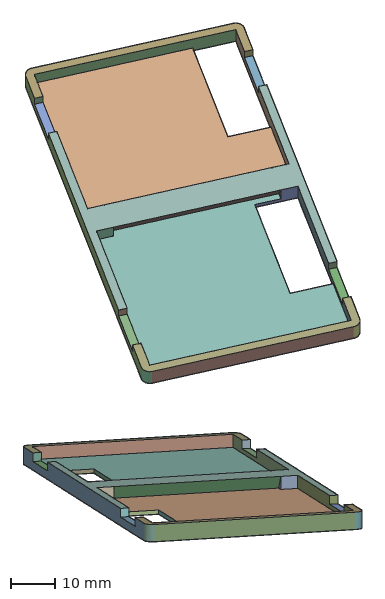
import cadquery as cq

length = 95.5
width = 51.5
height = 4.0
wall = 2.0
corner_radius = 2.0

floor_thickness = 1.0
bar_width = 7.1
pocket_length = (length - 2 * wall - bar_width) / 2
pocket_width = width - 2 * wall
pocket_depth = height - floor_thickness
pocket_offset = (bar_width + pocket_length) / 2

window_length = 27.9
window_width = 10.1

notch_length = 11.0
notch_depth = 2.0
notch_offset = 33.3

undercut_depth = 1.6
undercut_end_margin = 4.0
undercut_length = pocket_width - 2 * undercut_end_margin


def block(size_x, size_y, bottom, top, center_x, center_y):
    """Upright box between two heights, centred at the given place."""
    return (
        cq.Workplane("XY", origin=(center_x, center_y, bottom))
        .rect(size_x, size_y)
        .extrude(top - bottom)
    )


def pocket_with_window(center_x):
    """Material removed by one pocket and the window in its floor."""
    pocket = block(pocket_length, pocket_width, floor_thickness, height, center_x, 0)
    window_x = center_x - (pocket_length - window_length) / 2
    window_y = (pocket_width - window_width) / 2
    window = block(window_length, window_width, 0, height, window_x, window_y)
    return pocket.union(window)


def bar_undercut(side):
    """Wedge running from the bar's top edge inward to the pocket floor."""
    bar_face = side * bar_width / 2
    return (
        cq.Workplane("XZ")
        .moveTo(bar_face, height)
        .lineTo(bar_face, floor_thickness)
        .lineTo(bar_face - side * undercut_depth, floor_thickness)
        .close()
        .extrude(undercut_length / 2, both=True)
    )


result = (
    block(length, width, 0, height, 0, 0)
    .edges("|Z")
    .fillet(corner_radius)
)

for side in (-1, 1):
    result = result.cut(pocket_with_window(side * pocket_offset))
    result = result.cut(bar_undercut(side))
    result = result.cut(
        block(notch_length, width, height - notch_depth, height, side * notch_offset, 0)
    )